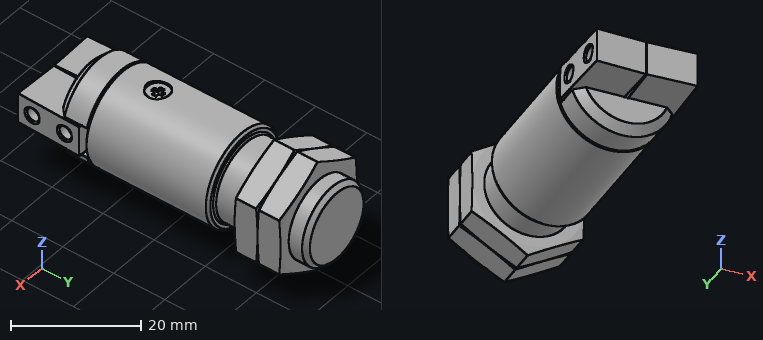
import cadquery as cq
import math

LENGTH = 55.7

BARREL_D = 18.0
THREAD_D = 15.0
THREAD_END_D = 13.35
THREAD_END_BEVEL = 0.9
THREAD_SHOULDER_Y = 37.65
SHOULDER_BEVEL = 0.5
THREAD_ROOT_BEVEL = 0.35
NOSE_END_Y = 7.6
NOSE_END_D = 15.0
GROOVE_Y = 13.65
GROOVE_DEPTH = 0.15

RECESS_D = 4.3
RECESS_Y = 20.7
RECESS_DEPTH = 0.5
CROSS_LENGTH = 2.05
CROSS_WIDTH = 0.8
CROSS_DEPTH = 0.55

NUT_FLATS = 19.0
NUT_SIDES = 6
NUT_THICKNESS = 4.5
NUT_FACE_D = 18.8
NUT_CORNER_DROP = 0.3
NUT_COUNT = 2
NUT_FRONT_Y = 43.15

JAW_HEIGHT = 5.9
JAW_WIDTH = 8.5
JAW_LENGTH = 12.35
JAW_TILT = 2.0
JAW_TIP_X = 8.6
JAW_TAIL_WIDTH = JAW_WIDTH / 2
JAW_TAIL_LENGTH = 2.8
JAW_HOLE_D = 2.45
JAW_HOLE_RIM_D = 3.0
JAW_HOLE_FROM_TIP = 2.9
JAW_HOLE_PITCH = 6.5
JAW_HOLE_COUNT = 2
SLOT_FLOOR_Y = GROOVE_Y


def make_barrel():
    """Turned barrel with the nose slot and the screw-head recess."""
    barrel_r = BARREL_D / 2
    thread_r = THREAD_D / 2
    end_r = THREAD_END_D / 2
    nose_r = NOSE_END_D / 2
    profile = [
        (0, NOSE_END_Y),
        (nose_r, NOSE_END_Y),
        (barrel_r, NOSE_END_Y + barrel_r - nose_r),
        (barrel_r, GROOVE_Y - GROOVE_DEPTH),
        (barrel_r - GROOVE_DEPTH, GROOVE_Y),
        (barrel_r, GROOVE_Y + GROOVE_DEPTH),
        (barrel_r, THREAD_SHOULDER_Y - SHOULDER_BEVEL),
        (barrel_r - SHOULDER_BEVEL, THREAD_SHOULDER_Y),
        (thread_r + THREAD_ROOT_BEVEL, THREAD_SHOULDER_Y),
        (thread_r, THREAD_SHOULDER_Y + THREAD_ROOT_BEVEL),
        (thread_r, LENGTH - THREAD_END_BEVEL),
        (end_r, LENGTH),
        (0, LENGTH),
    ]
    barrel = cq.Workplane("XY").polyline(profile).close().revolve(360, (0, 0, 0), (0, 1, 0))

    slot = cq.Workplane("XY").box(BARREL_D, SLOT_FLOOR_Y, JAW_HEIGHT, centered=(True, False, True))

    recess_floor = barrel_r - RECESS_DEPTH
    recess_plane = cq.Workplane("XY", origin=(0, RECESS_Y, recess_floor))
    recess = recess_plane.circle(RECESS_D / 2).extrude(RECESS_DEPTH)
    cross = recess_plane.rect(CROSS_LENGTH, CROSS_WIDTH).extrude(-CROSS_DEPTH)
    cross = cross.union(recess_plane.rect(CROSS_WIDTH, CROSS_LENGTH).extrude(-CROSS_DEPTH))
    return barrel.cut(slot).cut(recess).cut(cross)


def make_nut(front_y):
    """Hexagon nut with both faces chamfered at the corners; two corners point along Z."""
    corner_r = NUT_FLATS / math.sqrt(3)
    back_y = front_y + NUT_THICKNESS
    corner_angles = [math.tau * i / NUT_SIDES for i in range(NUT_SIDES)]
    corners = [(corner_r * math.sin(angle), corner_r * math.cos(angle)) for angle in corner_angles]
    hexagon = cq.Workplane("XZ", origin=(0, back_y, 0)).polyline(corners).close().extrude(NUT_THICKNESS)
    face_r = NUT_FACE_D / 2
    envelope_profile = [
        (THREAD_D / 2, front_y),
        (face_r, front_y),
        (corner_r, front_y + NUT_CORNER_DROP),
        (corner_r, back_y - NUT_CORNER_DROP),
        (face_r, back_y),
        (THREAD_D / 2, back_y),
    ]
    envelope = cq.Workplane("XY").polyline(envelope_profile).close().revolve(360, (0, 0, 0), (0, 1, 0))
    return hexagon.intersect(envelope)


def make_right_jaw():
    """Jaw on the +X side: a drilled block with a narrow tail that ends on the slot floor."""
    outline = [
        (0, 0),
        (0, JAW_LENGTH),
        (JAW_TAIL_WIDTH - JAW_WIDTH, JAW_LENGTH),
        (JAW_TAIL_WIDTH - JAW_WIDTH, JAW_LENGTH + JAW_TAIL_LENGTH),
        (-JAW_WIDTH, JAW_LENGTH + JAW_TAIL_LENGTH),
        (-JAW_WIDTH, 0),
    ]
    jaw = cq.Workplane("XY", origin=(0, 0, -JAW_HEIGHT / 2)).polyline(outline).close().extrude(JAW_HEIGHT)

    hole_r = JAW_HOLE_D / 2
    rim_r = JAW_HOLE_RIM_D / 2
    for i in range(JAW_HOLE_COUNT):
        hole_y = JAW_HOLE_FROM_TIP + i * JAW_HOLE_PITCH
        hole_profile = [
            (0, hole_y),
            (0, hole_y + rim_r),
            (hole_r - rim_r, hole_y + hole_r),
            (-JAW_WIDTH, hole_y + hole_r),
            (-JAW_WIDTH, hole_y),
        ]
        hole = cq.Workplane("XY").polyline(hole_profile).close().revolve(360, (0, hole_y, 0), (1, hole_y, 0))
        jaw = jaw.cut(hole)

    jaw = jaw.rotate((0, 0, 0), (0, 0, 1), -JAW_TILT).translate((JAW_TIP_X, 0, 0))
    behind_floor = cq.Workplane("XY", origin=(0, SLOT_FLOOR_Y, 0)).box(
        4 * JAW_WIDTH, 2 * JAW_TAIL_LENGTH, 2 * JAW_HEIGHT, centered=(True, False, True)
    )
    return jaw.cut(behind_floor)


barrel = make_barrel()
nuts = [make_nut(NUT_FRONT_Y + i * NUT_THICKNESS) for i in range(NUT_COUNT)]
right_jaw = make_right_jaw()
left_jaw = right_jaw.mirror("YZ")

result = cq.Compound.makeCompound(
    [barrel.val(), *[nut.val() for nut in nuts], right_jaw.val(), left_jaw.val()]
)